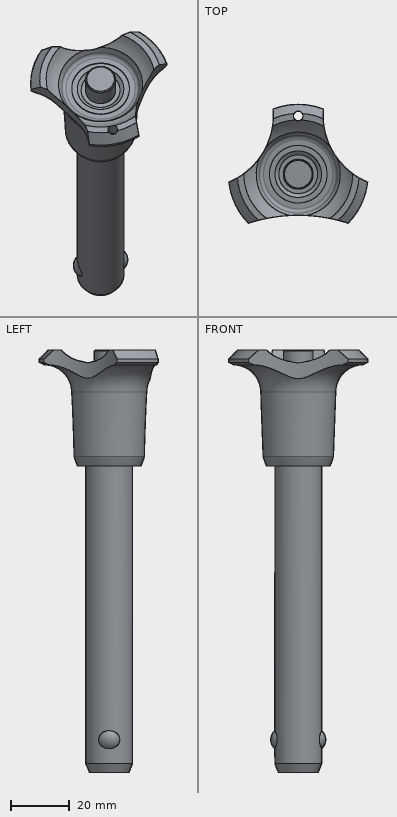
import cadquery as cq
import math


shank_radius = 8.0
shank_length = 104.2
tip_radius = 6.75
tip_height = 3.0

ball_radius = 4.0
ball_reach = 9.4
ball_above_tip = 11.2

handle_height = 39.5
hub_bottom_radius = 10.8
hub_round_mid_radius = 11.6
hub_round_mid_height = 1.9
hub_lower_radius = 12.0
hub_round_height = 3.3
hub_upper_radius = 12.8
hub_height = 25.2
flare_radius = 9.2
rim_radius = 23.8
rim_lower_depth = 4.2
rim_upper_depth = 3.1
crest_outer_radius = 20.7
crest_inner_radius = 18.5

bowl_mid_radius = 16.0
bowl_mid_depth = 2.7
bowl_bottom_radius = 14.3
bowl_bottom_depth = 3.9
wall_foot_radius = 13.2
wall_foot_depth = 5.7
fillet_mid_radius = 12.7
fillet_mid_depth = 6.4
floor_radius = 11.8
floor_depth = 6.8
sleeve_radius = 9.8
sleeve_step = 0.3
countersink_radius = 7.9
countersink_floor_radius = 6.6
countersink_depth = 1.0

button_radius = 5.1
button_chamfer = 0.4

back_lobe_half_width = 8.5
side_scallop_radius = 24.6
side_scallop_y = 20.0
front_scallop_radius = 55.0
front_scallop_clearance = 14.0

lanyard_hole_diameter = 3.2
lanyard_hole_y = 19.8


def make_handle():
    """Revolved hub, flared rim and bowl."""
    flare_end_x = hub_upper_radius + flare_radius
    flare_end_z = hub_height + flare_radius
    diagonal = flare_radius * math.cos(math.radians(45))
    floor_z = handle_height - floor_depth
    sleeve_z = floor_z - sleeve_step
    return (
        cq.Workplane("XZ")
        .moveTo(0, 0)
        .lineTo(hub_bottom_radius, 0)
        .threePointArc((hub_round_mid_radius, hub_round_mid_height), (hub_lower_radius, hub_round_height))
        .lineTo(hub_upper_radius, hub_height)
        .threePointArc((flare_end_x - diagonal, hub_height + diagonal), (flare_end_x, flare_end_z))
        .lineTo(rim_radius, handle_height - rim_lower_depth)
        .lineTo(rim_radius, handle_height - rim_upper_depth)
        .lineTo(crest_outer_radius, handle_height)
        .lineTo(crest_inner_radius, handle_height)
        .threePointArc(
            (bowl_mid_radius, handle_height - bowl_mid_depth),
            (bowl_bottom_radius, handle_height - bowl_bottom_depth),
        )
        .lineTo(wall_foot_radius, handle_height - wall_foot_depth)
        .threePointArc((fillet_mid_radius, handle_height - fillet_mid_depth), (floor_radius, floor_z))
        .lineTo(sleeve_radius, floor_z)
        .lineTo(sleeve_radius, sleeve_z)
        .lineTo(countersink_radius, sleeve_z)
        .lineTo(countersink_floor_radius, sleeve_z - countersink_depth)
        .lineTo(0, sleeve_z - countersink_depth)
        .close()
        .revolve(360, (0, 0, 0), (0, 1, 0))
    )


def make_scallops():
    """Vertical cylinders that cut the rim into three lobes."""
    side_x = back_lobe_half_width + side_scallop_radius
    front_y = -(front_scallop_clearance + front_scallop_radius)
    sides = (
        cq.Workplane("XY")
        .pushPoints([(-side_x, side_scallop_y), (side_x, side_scallop_y)])
        .circle(side_scallop_radius)
        .extrude(handle_height)
    )
    front = cq.Workplane("XY").center(0, front_y).circle(front_scallop_radius).extrude(handle_height)
    return sides.union(front)


def make_lanyard_hole():
    return (
        cq.Workplane("XY")
        .center(0, lanyard_hole_y)
        .circle(lanyard_hole_diameter / 2)
        .extrude(handle_height)
    )


def make_button():
    return (
        cq.Workplane("XY")
        .circle(button_radius)
        .extrude(handle_height)
        .faces(">Z")
        .chamfer(button_chamfer)
    )


def make_shank():
    """Straight shank, sunk into the hub, with a tapered tip."""
    return (
        cq.Workplane("XZ")
        .moveTo(0, -shank_length)
        .lineTo(tip_radius, -shank_length)
        .lineTo(shank_radius, tip_height - shank_length)
        .lineTo(shank_radius, hub_round_height)
        .lineTo(0, hub_round_height)
        .close()
        .revolve(360, (0, 0, 0), (0, 1, 0))
    )


def make_balls():
    """Two locking balls on opposite sides of the shank, along X."""
    ball_x = ball_reach - ball_radius
    ball_z = ball_above_tip - shank_length
    return (
        cq.Workplane("XY", origin=(0, 0, ball_z))
        .pushPoints([(-ball_x, 0), (ball_x, 0)])
        .sphere(ball_radius)
    )


handle = make_handle().cut(make_scallops()).cut(make_lanyard_hole())
result = handle.union(make_button()).union(make_shank()).union(make_balls())